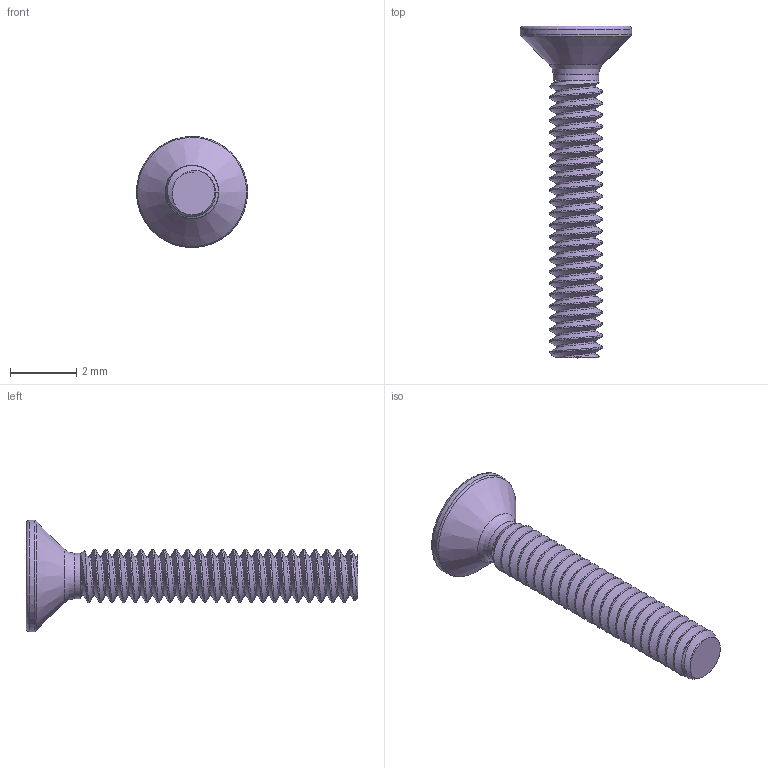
import cadquery as cq
import math


length = 10.0
head_diameter = 3.35
thread_diameter = 1.6
pitch = 0.35

corner_depth = 0.29
rim_fillet = 0.1
neck_fillet = 0.42

minor_diameter = 1.175
flank_angle = math.radians(30)
crest_width = pitch / 8
thread_start = 1.635
taper_length = 0.2
groove_depth = 2.15
groove_overrun = 0.02

head_radius = head_diameter / 2
crest_radius = thread_diameter / 2
core_radius = minor_diameter / 2
thread_triangle = pitch / 2 / math.tan(flank_angle)
neck_radius = crest_radius - 3 / 8 * thread_triangle


def make_head_and_neck():
    """Rim, 90 degree cone and plain neck, with the three corners rounded."""
    cone_end = corner_depth + head_radius - neck_radius
    profile = (
        cq.Workplane("XZ")
        .moveTo(0, 0)
        .lineTo(head_radius, 0)
        .lineTo(head_radius, -corner_depth)
        .lineTo(neck_radius, -cone_end)
        .lineTo(neck_radius, -thread_start)
        .lineTo(0, -thread_start)
        .close()
    )
    body = profile.revolve(360, (0, 0, 0), (0, 1, 0))
    rim = cq.selectors.BoxSelector(
        (-2 * head_radius, -2 * head_radius, -corner_depth - rim_fillet),
        (2 * head_radius, 2 * head_radius, rim_fillet),
    )
    neck = cq.selectors.BoxSelector(
        (-head_radius, -head_radius, -cone_end - rim_fillet),
        (head_radius, head_radius, -cone_end + rim_fillet),
    )
    body = body.edges("%CIRCLE").edges(rim).fillet(rim_fillet)
    return body.edges("%CIRCLE").edges(neck).fillet(neck_fillet)


def make_thread_rod():
    """Rod of the crest diameter, tapered at both ends, that the groove is cut into."""
    return (
        cq.Workplane("XZ")
        .moveTo(0, -thread_start)
        .lineTo(neck_radius, -thread_start)
        .lineTo(crest_radius, -thread_start - taper_length)
        .lineTo(crest_radius, -length + taper_length)
        .lineTo(neck_radius, -length)
        .lineTo(0, -length)
        .close()
        .revolve(360, (0, 0, 0), (0, 1, 0))
    )


def make_groove_turn(start_z):
    """Cutter for one turn of the right-hand groove, climbing from start_z on the +X side."""
    outer_radius = crest_radius + groove_overrun
    half_mouth = (pitch - crest_width) / 2 + groove_overrun * math.tan(flank_angle)
    half_root = half_mouth - (outer_radius - core_radius) * math.tan(flank_angle)
    helix = cq.Wire.makeHelix(pitch, pitch, core_radius, center=cq.Vector(0, 0, start_z))
    return (
        cq.Workplane("XZ")
        .moveTo(core_radius, start_z - half_root)
        .lineTo(outer_radius, start_z - half_mouth)
        .lineTo(outer_radius, start_z + half_mouth)
        .lineTo(core_radius, start_z + half_root)
        .close()
        .sweep(cq.Workplane(obj=helix), isFrenet=True)
    )


def make_thread():
    """Tapered rod with the groove cut one turn at a time, running past both of its ends."""
    turns_above = math.ceil((groove_depth - thread_start) / pitch)
    turns_below = math.ceil((length - groove_depth) / pitch)
    thread = make_thread_rod()
    for turn in range(-turns_above, turns_below):
        start_z = -groove_depth - (turn + 1) * pitch
        thread = thread.cut(make_groove_turn(start_z), clean=False)
    return thread


screw = make_thread().union(make_head_and_neck(), clean=False)
result = screw.rotate((0, 0, 0), (1, 0, 0), -90)